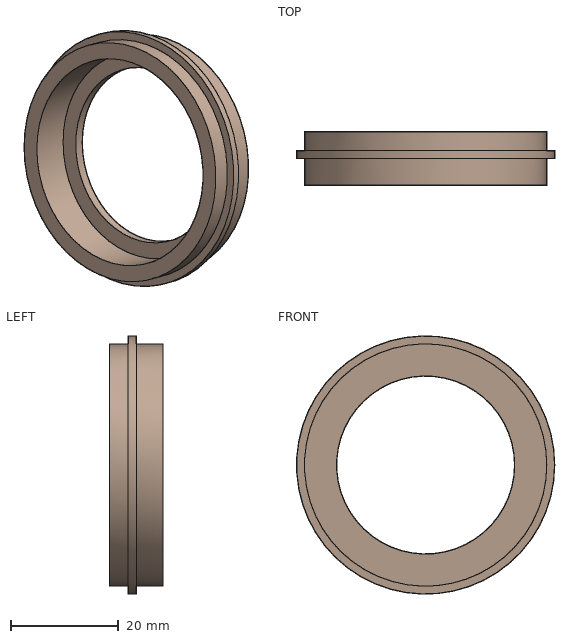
import cadquery as cq

width = 10.0
body_diameter = 45.0
flange_diameter = 48.0
flange_width = 1.5
front_shoulder = 5.0
bore_diameter = 33.0
counterbore_diameter = 39.0
lip_width = 2.0

front_y = -width / 2


def disc(diameter, start_y, length):
    """Solid disc on the Y axis, extending from start_y toward +Y."""
    plane = cq.Workplane("XZ", origin=(0, start_y, 0))
    return plane.circle(diameter / 2).extrude(-length)


body = disc(body_diameter, front_y, width)
flange = disc(flange_diameter, front_y + front_shoulder, flange_width)

bore = disc(bore_diameter, front_y, width)
counterbore = disc(counterbore_diameter, front_y + lip_width, width - lip_width)

result = body.union(flange).cut(bore).cut(counterbore)